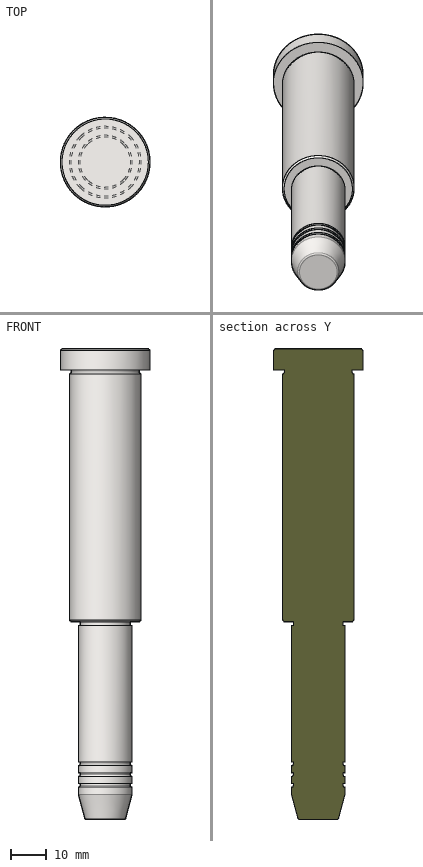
import cadquery as cq
import math

TOTAL_LENGTH = 131.0
HEAD_HEIGHT = 6.0
PIN_LENGTH = 55.0

HEAD_RADIUS = 12.5
SHANK_RADIUS = 10.0
PIN_RADIUS = 7.5

HEAD_CHAMFER = 0.5
SHANK_CHAMFER = 0.5
TIP_FILLET = 0.5

GROOVE_WIDTH = 1.0
GROOVE_DEPTH = 0.5

TIP_LENGTH = 7.0
TIP_HALF_ANGLE = 15.0

RING_COUNT = 3
RING_PITCH = 3.0
FIRST_RING_Z = TIP_LENGTH + RING_PITCH - GROOVE_WIDTH

HEAD_BOTTOM_Z = TOTAL_LENGTH - HEAD_HEIGHT
TIP_RADIUS = PIN_RADIUS - TIP_LENGTH * math.tan(math.radians(TIP_HALF_ANGLE))


def cylinder(radius, bottom_z, height):
    return cq.Workplane("XY").workplane(offset=bottom_z).circle(radius).extrude(height)


def square_groove(outer_radius, bottom_z):
    """Ring with a rectangular section, to be removed from a cylinder."""
    ring = cq.Workplane("XY").workplane(offset=bottom_z)
    return ring.circle(outer_radius).circle(outer_radius - GROOVE_DEPTH).extrude(GROOVE_WIDTH)


def rounded_groove(outer_radius, bottom_z):
    """Ring whose lower wall is a quarter round running into the floor; its upper wall is flat."""
    floor_radius = outer_radius - GROOVE_DEPTH
    top_z = bottom_z + GROOVE_WIDTH
    arc_offset = GROOVE_DEPTH * math.sin(math.radians(45))
    arc_end_z = bottom_z + GROOVE_DEPTH
    return (
        cq.Workplane("XZ")
        .moveTo(outer_radius, bottom_z)
        .threePointArc(
            (outer_radius - arc_offset, arc_end_z - arc_offset),
            (floor_radius, arc_end_z),
        )
        .lineTo(floor_radius, top_z)
        .lineTo(outer_radius, top_z)
        .close()
        .revolve(360, (0, 0, 0), (0, 1, 0))
    )


def make_head():
    head = cylinder(HEAD_RADIUS, HEAD_BOTTOM_Z, HEAD_HEIGHT)
    return head.faces(">Z").edges().chamfer(HEAD_CHAMFER)


def make_shank():
    shank = cylinder(SHANK_RADIUS, PIN_LENGTH, HEAD_BOTTOM_Z - PIN_LENGTH)
    shank = shank.faces("<Z").edges().chamfer(SHANK_CHAMFER)
    relief_z = HEAD_BOTTOM_Z - GROOVE_WIDTH
    return shank.cut(rounded_groove(SHANK_RADIUS, relief_z))


def make_pin():
    pin = cylinder(PIN_RADIUS, TIP_LENGTH, PIN_LENGTH - TIP_LENGTH)
    for index in range(RING_COUNT):
        groove_z = FIRST_RING_Z + index * RING_PITCH
        pin = pin.cut(rounded_groove(PIN_RADIUS, groove_z))
    relief_z = PIN_LENGTH - GROOVE_WIDTH
    return pin.cut(square_groove(PIN_RADIUS, relief_z))


def make_tip():
    tip = cq.Workplane(cq.Solid.makeCone(TIP_RADIUS, PIN_RADIUS, TIP_LENGTH))
    return tip.faces("<Z").edges().fillet(TIP_FILLET)


result = make_head().union(make_shank()).union(make_pin()).union(make_tip())